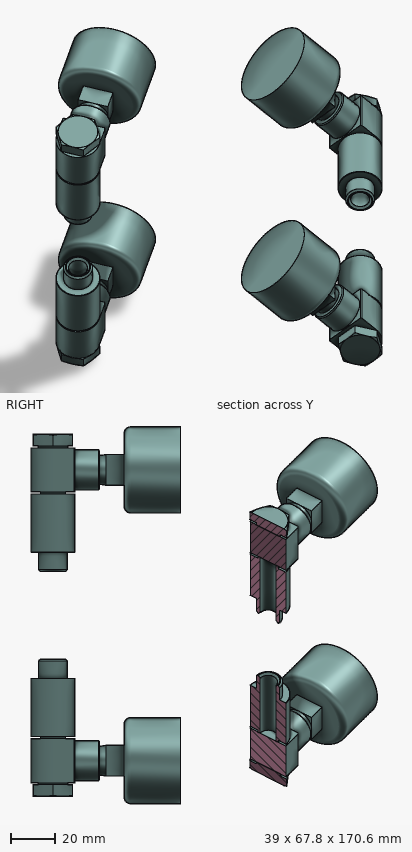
import cadquery as cq
import math

total_height = 170.6

case_diameter = 39.0
case_length = 25.6
case_edge_radius = 3.0
wrench_width = 14.0
wrench_length = 8.2
neck_diameter = 13.1
neck_root_diameter = wrench_width
neck_length = 2.9

post_diameter = 20.0
block_height = 20.0
block_edge_chamfer = 0.5
socket_diameter = 18.3
socket_length = 11.1
socket_chamfer = 0.5

collar_height = 0.9

hex_flats = 17.9
hex_height = 5.3
hex_chamfer_height = 0.5
plug_collar_diameter = 13.5

sleeve_length = 26.5
sleeve_chamfer = 0.2
sleeve_collar_diameter = 11.5
thread_diameter = 13.1
thread_length = 8.7
thread_tip_diameter = 11.5
bore_diameter = 8.5
bore_mouth_diameter = 10.5

block_back = post_diameter / 2
socket_back = block_back + socket_length
wrench_front = socket_back + neck_length
case_front = wrench_front + wrench_length

gauge_axis_z = total_height / 2 - case_diameter / 2
block_top = gauge_axis_z + block_height / 2
block_bottom = gauge_axis_z - block_height / 2
hex_bottom = block_top + collar_height
sleeve_top = block_bottom - collar_height


def plane_facing_back(y):
    """Plane on the gauge axis at distance y, with its normal along +Y."""
    return cq.Workplane(cq.Plane(origin=(0, y, gauge_axis_z), xDir=(1, 0, 0), normal=(0, 1, 0)))


def make_gauge():
    case = plane_facing_back(case_front).circle(case_diameter / 2).extrude(case_length)
    case = case.faces("<Y").edges().fillet(case_edge_radius)
    wrench = plane_facing_back(wrench_front).rect(wrench_width, wrench_width).extrude(wrench_length)
    neck = (
        plane_facing_back(socket_back)
        .circle(neck_diameter / 2)
        .workplane(offset=neck_length)
        .circle(neck_root_diameter / 2)
        .loft()
    )
    return case.union(wrench).union(neck)


def make_elbow():
    radius = post_diameter / 2
    block = (
        cq.Workplane("XY", origin=(0, 0, block_bottom))
        .moveTo(-radius, 0)
        .threePointArc((0, -radius), (radius, 0))
        .lineTo(radius, block_back)
        .lineTo(-radius, block_back)
        .close()
        .extrude(block_height)
    )
    block = block.faces(">Y").edges("|Z").chamfer(block_edge_chamfer)
    socket = plane_facing_back(block_back).circle(socket_diameter / 2).extrude(socket_length)
    socket = socket.faces(">Y").edges().chamfer(socket_chamfer)
    return block.union(socket)


def make_plug():
    corner_diameter = hex_flats / math.cos(math.pi / 6)
    head = cq.Workplane("XY", origin=(0, 0, hex_bottom)).polygon(6, corner_diameter).extrude(hex_height)
    envelope = cq.Workplane("XY", origin=(0, 0, hex_bottom)).circle(corner_diameter / 2).extrude(hex_height)
    chamfer_width = (corner_diameter - hex_flats) / 2
    envelope = envelope.faces(">Z").chamfer(hex_chamfer_height, chamfer_width)
    collar = cq.Workplane("XY", origin=(0, 0, block_top)).circle(plug_collar_diameter / 2).extrude(collar_height)
    return head.intersect(envelope).union(collar)


def make_sleeve():
    sleeve_bottom = sleeve_top - sleeve_length
    thread_end = sleeve_bottom - thread_length
    tip_chamfer = (thread_diameter - thread_tip_diameter) / 2
    mouth_depth = (bore_mouth_diameter - bore_diameter) / 2
    return (
        cq.Workplane("XZ")
        .moveTo(bore_diameter / 2, block_bottom)
        .lineTo(sleeve_collar_diameter / 2, block_bottom)
        .lineTo(sleeve_collar_diameter / 2, sleeve_top)
        .lineTo(post_diameter / 2, sleeve_top)
        .lineTo(post_diameter / 2, sleeve_bottom + sleeve_chamfer)
        .lineTo(post_diameter / 2 - sleeve_chamfer, sleeve_bottom)
        .lineTo(thread_diameter / 2, sleeve_bottom)
        .lineTo(thread_diameter / 2, thread_end + tip_chamfer)
        .lineTo(thread_tip_diameter / 2, thread_end)
        .lineTo(bore_mouth_diameter / 2, thread_end)
        .lineTo(bore_diameter / 2, thread_end + mouth_depth)
        .close()
        .revolve(360, (0, 0, 0), (0, 1, 0))
    )


bodies = []
for make_body in (make_gauge, make_elbow, make_plug, make_sleeve):
    upper_body = make_body()
    lower_body = upper_body.mirror("XY")
    bodies += [upper_body.val(), lower_body.val()]

result = cq.Compound.makeCompound(bodies)